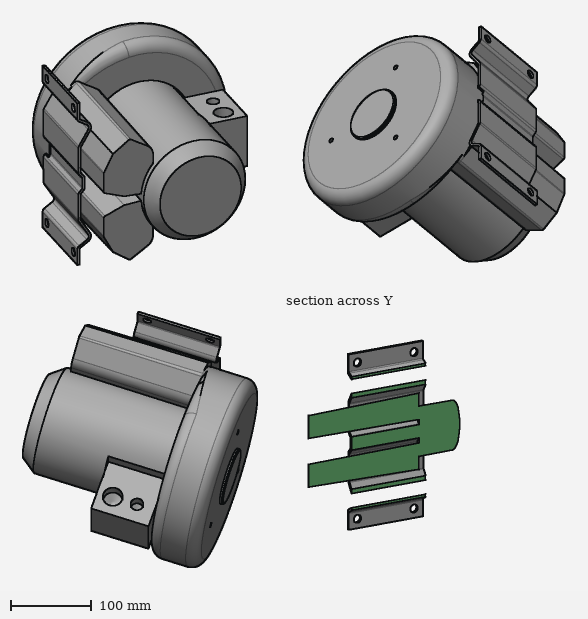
import cadquery as cq
import math


LENGTH = 256.0
HOUSING_RADIUS = 123.0
HOUSING_FRONT = 4.0
HOUSING_REAR = 68.0
HOUSING_ROUND = 15.4
FLANK_ANGLE = 8.0
FLANK_RADIUS = 148.5
FLANK_SWEEP = 66.0
HUB_RADIUS = 36.0
HUB_CHAMFER = 1.5
COVER_HOLE_CIRCLE = 70.0
COVER_HOLE_DIAMETER = 6.0
COVER_HOLE_DEPTH = 10.2
DRILL_TIP_ANGLE = 118.0

MOTOR_RADIUS = 68.9
MOTOR_END_RADIUS = 55.0
MOTOR_TAPER_START = 237.3

BOX_X = (72.0, 147.2)
BOX_Y = (44.3, 110.8)
BOX_HALF_HEIGHT = 35.3
CABLE_HOLE_Y = 87.3
CABLE_HOLE_DEPTH = 15.4
CABLE_HOLES = ((95.0, 16.0), (126.7, 24.5))

SILENCER_REAR = 229.0
SILENCER_DRAFT = 0.5
SILENCER_WALL_ROUND = 16.6
SILENCER_EDGE_ROUND = 4.0
SILENCER_OUTER_Y = -120.8
SILENCER_INNER_Y = -51.2
SILENCER_SECTION = (
    (SILENCER_INNER_Y, 66.5),
    (-84.2, 87.0),
    (-108.0, 70.1),
    (SILENCER_OUTER_Y, 45.0),
    (SILENCER_OUTER_Y, 16.0),
    (-92.2, 4.9),
    (SILENCER_INNER_Y, 2.5),
)

SHEET = 3.3
BRACKET_X = (58.4, 166.5)
BRACKET_OUTER_Y = -127.87
BRACKET_HALF_HEIGHT = 114.05
BEND_ROUND = 2.0
VALLEY_ROUND = 5.0
FOOT_HOLE_DIAMETER = 10.5
FOOT_HOLE_X = (71.5, 153.9)
FOOT_HOLE_Z = 101.6
NOTCH_HALF_HEIGHT = 11.0
FOOT_Y = BRACKET_OUTER_Y + SHEET / 2
PAD_Y = FOOT_Y + 1.3
BRACKET_HALF_LINE = (
    (FOOT_Y, BRACKET_HALF_HEIGHT),
    (FOOT_Y, 90.0),
    (-108.3, 78.8),
    (PAD_Y, 51.5),
    (PAD_Y, 14.0),
    (PAD_Y + 5.6, 7.7),
)
VALLEY_BEND = 2


def x_cylinder(radius, start, end):
    return cq.Workplane("YZ", origin=(start, 0, 0)).circle(radius).extrude(end - start)


def drill(plane, diameter, depth):
    """Blind drilled hole with a conical tip, going against the plane's normal."""
    radius = diameter / 2
    tip = radius / math.tan(math.radians(DRILL_TIP_ANGLE / 2))
    bore = cq.Solid.makeCylinder(radius, depth, plane.origin, -plane.zDir)
    cone = cq.Solid.makeCone(radius, 0, tip, plane.origin - plane.zDir * depth, -plane.zDir)
    return cq.Workplane(bore).union(cq.Workplane(cone))


def silencer_pair(start, end, draft=0):
    """Upper silencer and its mirror image, narrowing by the draft towards their end."""
    section = cq.Sketch().polygon(SILENCER_SECTION + SILENCER_SECTION[:1])
    corner_rounds = (
        (0, SILENCER_WALL_ROUND),
        (1, SILENCER_EDGE_ROUND),
        (3, SILENCER_EDGE_ROUND),
        (4, SILENCER_EDGE_ROUND),
    )
    for corner, radius in corner_rounds:
        point = cq.selectors.NearestToPointSelector((*SILENCER_SECTION[corner], 0))
        section = section.reset().vertices(point).fillet(radius)
    plane = cq.Workplane("YZ", origin=(start, 0, 0))
    upper = plane.placeSketch(section.reset()).extrude(end - start, taper=draft)
    return upper.union(upper.mirror("XY"))


def make_housing():
    drum = x_cylinder(HOUSING_RADIUS, HOUSING_FRONT, HOUSING_REAR).faces("<X").edges().fillet(HOUSING_ROUND)

    def flank_point(sweep):
        start = math.radians(FLANK_ANGLE)
        turn = math.radians(FLANK_ANGLE + sweep)
        centre_shift = FLANK_RADIUS - HOUSING_RADIUS
        y = centre_shift * math.sin(start) - FLANK_RADIUS * math.sin(turn)
        z = FLANK_RADIUS * math.cos(turn) - centre_shift * math.cos(start)
        return y, z

    leave, middle, end = [flank_point(sweep) for sweep in (0, FLANK_SWEEP / 2, FLANK_SWEEP)]
    envelope = (
        cq.Workplane("YZ", origin=(HOUSING_FRONT, 0, 0))
        .moveTo(*end)
        .threePointArc(middle, leave)
        .threePointArc((HOUSING_RADIUS, 0), (leave[0], -leave[1]))
        .threePointArc((middle[0], -middle[1]), (end[0], -end[1]))
        .close()
        .extrude(HOUSING_REAR - HOUSING_FRONT)
        .faces(">X").edges("not <Y").fillet(HOUSING_ROUND)
    )
    envelope = envelope.union(silencer_pair(HOUSING_REAR - HOUSING_ROUND, HOUSING_REAR))

    hub = x_cylinder(HUB_RADIUS, 0, HOUSING_FRONT + 2.5).faces("<X").edges().chamfer(HUB_CHAMFER)
    housing = drum.intersect(envelope).union(hub)

    for turn in (0, 120, 240):
        y = COVER_HOLE_CIRCLE * math.cos(math.radians(turn))
        z = COVER_HOLE_CIRCLE * math.sin(math.radians(turn))
        face = cq.Plane(origin=(HOUSING_FRONT, y, z), xDir=(0, 1, 0), normal=(-1, 0, 0))
        housing = housing.cut(drill(face, COVER_HOLE_DIAMETER, COVER_HOLE_DEPTH))
    return housing


def make_motor():
    body = x_cylinder(MOTOR_RADIUS, HOUSING_REAR - 2.5, LENGTH)
    taper_length = LENGTH - MOTOR_TAPER_START
    return body.faces(">X").edges().chamfer(taper_length, MOTOR_RADIUS - MOTOR_END_RADIUS)


def box_block(bottom, top):
    """Block over the terminal box's X and Y extent, between two heights."""
    size = (BOX_X[1] - BOX_X[0], BOX_Y[1] - BOX_Y[0], top - bottom)
    return cq.Workplane().box(*size, centered=False).translate((BOX_X[0], BOX_Y[0], bottom))


def add_terminal_box(motor):
    """Join the box to the motor and clear the motor wall above the box top."""
    motor = motor.union(box_block(-BOX_HALF_HEIGHT, BOX_HALF_HEIGHT))
    motor = motor.cut(box_block(BOX_HALF_HEIGHT, MOTOR_RADIUS))
    for x, diameter in CABLE_HOLES:
        top = cq.Plane(origin=(x, CABLE_HOLE_Y, BOX_HALF_HEIGHT))
        motor = motor.cut(drill(top, diameter, CABLE_HOLE_DEPTH))
    return motor


def shifted_line(points, distance):
    """Open line moved sideways by a distance, with mitred corners."""
    angles = [math.atan2(b[1] - a[1], b[0] - a[0]) for a, b in zip(points, points[1:])]
    before = [angles[0]] + angles
    after = angles + [angles[-1]]
    moved = []
    for (y, z), first, second in zip(points, before, after):
        middle = (first + second) / 2
        reach = distance / math.cos((second - first) / 2)
        moved.append((y - reach * math.sin(middle), z + reach * math.cos(middle)))
    return moved


def make_bracket():
    lower_half = tuple((y, -z) for y, z in reversed(BRACKET_HALF_LINE))
    line = BRACKET_HALF_LINE + lower_half
    sides = (shifted_line(line, SHEET / 2), shifted_line(line, -SHEET / 2))
    width = BRACKET_X[1] - BRACKET_X[0]
    bracket = (
        cq.Workplane("YZ", origin=(BRACKET_X[0], 0, 0))
        .polyline(sides[0] + sides[1][::-1]).close()
        .extrude(width)
    )

    middle = (BRACKET_X[0] + BRACKET_X[1]) / 2
    last = len(line) - 1
    for bend in range(1, last):
        inner_radius = VALLEY_ROUND if bend in (VALLEY_BEND, last - VALLEY_BEND) else BEND_ROUND
        (y0, z0), (y1, z1), (y2, z2) = line[bend - 1:bend + 2]
        turns_left = (y1 - y0) * (z2 - z1) - (z1 - z0) * (y2 - y1) > 0
        inner, outer = sides if turns_left else sides[::-1]
        for side, radius in ((inner, inner_radius), (outer, inner_radius + SHEET)):
            edge = cq.selectors.NearestToPointSelector((middle, *side[bend]))
            bracket = bracket.edges(edge).fillet(radius)

    foot_holes = (
        cq.Workplane("XZ", origin=(0, BRACKET_OUTER_Y, 0))
        .pushPoints([(x, z) for x in FOOT_HOLE_X for z in (-FOOT_HOLE_Z, FOOT_HOLE_Z)])
        .circle(FOOT_HOLE_DIAMETER / 2)
        .extrude(-SHEET)
    )
    notch_size = (2 * (HOUSING_REAR - BRACKET_X[0]), 8 * SHEET, 2 * NOTCH_HALF_HEIGHT)
    notch = cq.Workplane().box(*notch_size).translate((BRACKET_X[0], PAD_Y, 0))
    return bracket.cut(foot_holes).cut(notch)


result = (
    make_housing()
    .union(add_terminal_box(make_motor()))
    .union(silencer_pair(HOUSING_REAR, SILENCER_REAR, SILENCER_DRAFT))
    .union(make_bracket())
)